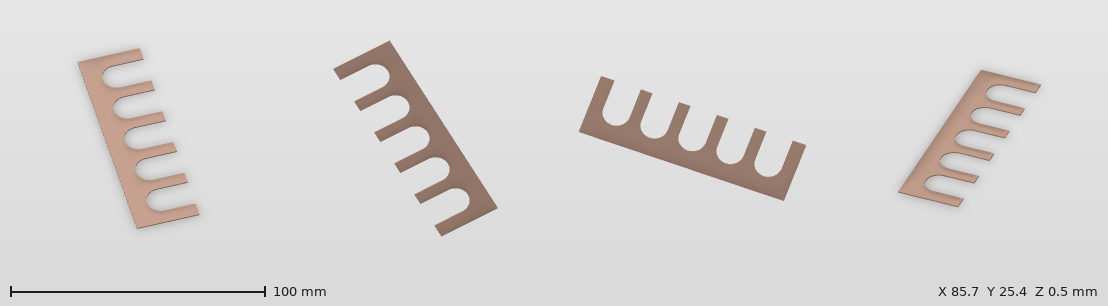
import cadquery as cq

length = 85.725
width = 25.4
thickness = 0.5

slot_count = 5
slot_pitch = 15.875
slot_width = 11.1125
slot_radius = slot_width / 2

back_edge_y = width / 2
arc_center_y = 0


def make_plate():
    return cq.Workplane("XY").rect(length, width).extrude(thickness)


def make_slot(center_x):
    """Cutter for one slot: straight sides closed by a half circle at its -Y end."""
    left_x = center_x - slot_radius
    right_x = center_x + slot_radius
    return (
        cq.Workplane("XY")
        .moveTo(left_x, back_edge_y)
        .lineTo(left_x, arc_center_y)
        .threePointArc((center_x, arc_center_y - slot_radius), (right_x, arc_center_y))
        .lineTo(right_x, back_edge_y)
        .close()
        .extrude(thickness)
    )


result = make_plate()
for index in range(slot_count):
    slot_x = (index - (slot_count - 1) / 2) * slot_pitch
    result = result.cut(make_slot(slot_x))